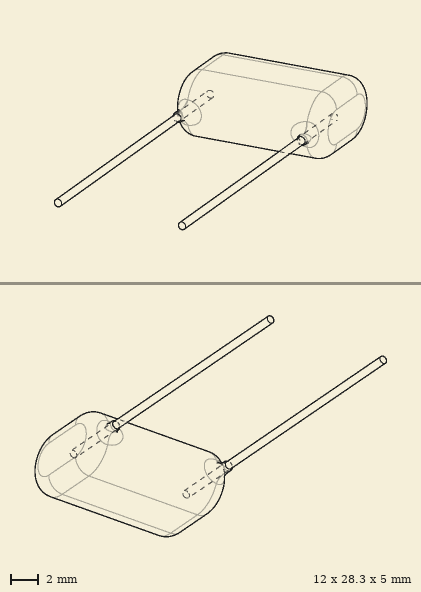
import cadquery as cq

BODY_WIDTH = 12.0
BODY_THICKNESS = 5.0
BODY_DEPTH = 8.3
END_ROUNDING = 1.2

TOTAL_DEPTH = 28.3
LEAD_SPACING = 10.0
LEAD_DIAMETER = 0.6
COLLAR_DIAMETER = 0.8
COLLAR_LENGTH = 1.08
COLLAR_FILLET = 1.0
COLLAR_END_ROUNDING = 0.15

BACK_Y = TOTAL_DEPTH / 2
BODY_CENTER_Y = BACK_Y - BODY_DEPTH / 2
BODY_FRONT_Y = BACK_Y - BODY_DEPTH
COLLAR_END_Y = BODY_FRONT_Y - COLLAR_LENGTH
LEAD_TIP_Y = -TOTAL_DEPTH / 2
LEAD_XS = (-LEAD_SPACING / 2, LEAD_SPACING / 2)


def rod(diameter, x, start_y, end_y):
    """Round rod along Y at the given X, from start_y towards +Y."""
    direction = cq.Vector(0, 1, 0)
    solid = cq.Solid.makeCylinder(diameter / 2, end_y - start_y, cq.Vector(x, start_y, 0), direction)
    return cq.Workplane(solid)


def make_lead(x):
    """Straight wire that runs through the collar to the middle of the body."""
    return rod(LEAD_DIAMETER, x, LEAD_TIP_Y, BODY_CENTER_Y)


def make_body():
    """Rounded obround body with a flared collar and a socket for each lead."""
    body = (
        cq.Workplane("YZ")
        .center(BODY_CENTER_Y, 0)
        .slot2D(BODY_DEPTH, BODY_THICKNESS)
        .extrude(BODY_WIDTH / 2, both=True)
        .faces("<X or >X")
        .edges()
        .fillet(END_ROUNDING)
    )
    for x in LEAD_XS:
        body = body.union(rod(COLLAR_DIAMETER, x, COLLAR_END_Y, BODY_CENTER_Y))
    seam_depth = BODY_THICKNESS / 4
    for x in LEAD_XS:
        seam_zone = cq.selectors.BoxSelector(
            (x - COLLAR_DIAMETER, BODY_FRONT_Y - COLLAR_LENGTH / 2, -COLLAR_DIAMETER),
            (x + COLLAR_DIAMETER, BODY_FRONT_Y + seam_depth, COLLAR_DIAMETER),
            boundingbox=True,
        )
        body = body.edges(seam_zone).fillet(COLLAR_FILLET)
    body = body.faces("<Y").edges().fillet(COLLAR_END_ROUNDING)
    for x in LEAD_XS:
        body = body.cut(make_lead(x))
    return body


body = make_body()
leads = [make_lead(x) for x in LEAD_XS]

result = cq.Compound.makeCompound([body.val(), *[lead.val() for lead in leads]])